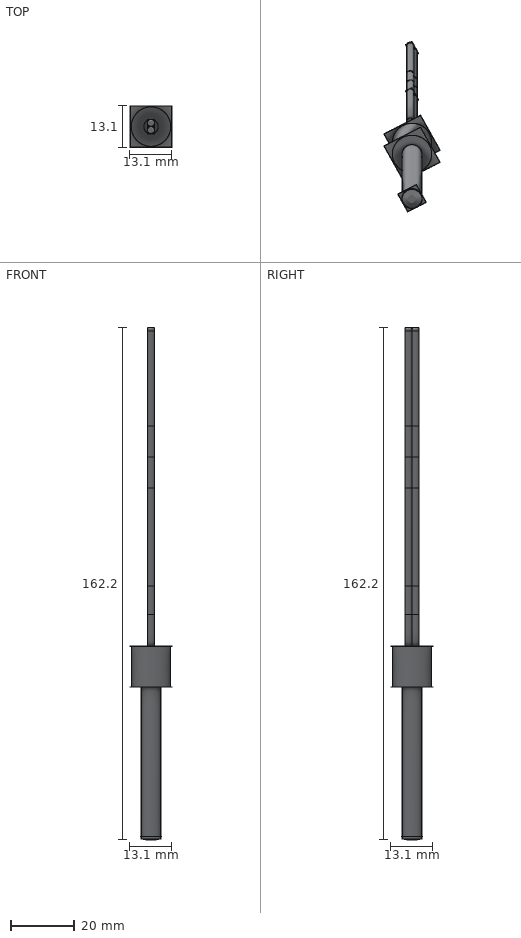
import cadquery as cq

STEM_DIAMETER = 6.3
STEM_LENGTH = 48.3
STEM_FLANGE_SIDE = 6.7
STEM_NOSE_FLAT_DIAMETER = 2.6
STEM_NOSE_HEIGHT = 0.3
STEM_NOSE_INSET = (STEM_DIAMETER - STEM_NOSE_FLAT_DIAMETER) / 2
COLLAR_DIAMETER = 12.5
COLLAR_HEIGHT = 13.0
COLLAR_FLANGE_SIDE = 13.1
COLLAR_TOP = STEM_LENGTH + COLLAR_HEIGHT

FLANGE_THICKNESS = 0.08
TIP_LENGTH = 1.1

WIRE_TOP = 162.2
WIRE_DIAMETER = 2.3
WIRE_TIP_RADIUS = 0.5
WIRE_FLANGE_SIDE = WIRE_DIAMETER
WIRE_OFFSETS = (-WIRE_DIAMETER / 2, WIRE_DIAMETER / 2)
WIRE_MIDDLE_FLANGE_TOP = 111.5
WIRE_UPPER_FLANGE_TOP = WIRE_TOP - TIP_LENGTH
RECESS_DIAMETER = 2 * WIRE_DIAMETER
RECESS_DEPTH = 1.6
RECESS_FLOOR = COLLAR_TOP - RECESS_DEPTH

BAND_THICKNESS = 0.3
BAND_INNER_DIAMETER = WIRE_DIAMETER - 2 * BAND_THICKNESS
LOWER_BAND_BOTTOM = 71.4
LOWER_BAND_TOP = 80.3
UPPER_BAND_BOTTOM = 121.2
UPPER_BAND_TOP = 131.0
BAND_SPANS = ((LOWER_BAND_BOTTOM, LOWER_BAND_TOP), (UPPER_BAND_BOTTOM, UPPER_BAND_TOP))


def cylinder(diameter, bottom, top, y=0.0):
    """Vertical cylinder between two heights, centred on X = 0."""
    return cq.Workplane("XY", origin=(0, y, bottom)).circle(diameter / 2).extrude(top - bottom)


def flange(side, top, y=0.0):
    """Thin square plate whose upper face lies at the given height."""
    bottom = top - FLANGE_THICKNESS
    return cq.Workplane("XY", origin=(0, y, bottom)).rect(side, side).extrude(FLANGE_THICKNESS)


def make_sensor_body():
    """Stem with a shallow conical nose and collar, both flanged, recessed on top for the wires."""
    stem = cylinder(STEM_DIAMETER, 0, STEM_LENGTH)
    stem = stem.faces("<Z").edges().chamfer(STEM_NOSE_HEIGHT, STEM_NOSE_INSET)
    collar = cylinder(COLLAR_DIAMETER, STEM_LENGTH, COLLAR_TOP)
    body = stem.union(collar)
    body = body.union(flange(STEM_FLANGE_SIDE, TIP_LENGTH))
    body = body.union(flange(COLLAR_FLANGE_SIDE, STEM_LENGTH + FLANGE_THICKNESS))
    body = body.union(flange(COLLAR_FLANGE_SIDE, COLLAR_TOP))
    return body.cut(cylinder(RECESS_DIAMETER, RECESS_FLOOR, COLLAR_TOP))


def make_band(y, bottom, top):
    """Ring around one wire, flush with the wire surface."""
    ring = cylinder(WIRE_DIAMETER, bottom, top, y)
    return ring.cut(cylinder(BAND_INNER_DIAMETER, bottom, top, y))


def make_wire(y):
    """One round-tipped wire with a middle and an upper flange, grooved for its marker bands."""
    wire = cylinder(WIRE_DIAMETER, RECESS_FLOOR, WIRE_TOP, y)
    wire = wire.faces(">Z").edges().fillet(WIRE_TIP_RADIUS)
    for flange_top in (WIRE_MIDDLE_FLANGE_TOP, WIRE_UPPER_FLANGE_TOP):
        wire = wire.union(flange(WIRE_FLANGE_SIDE, flange_top, y))
    for bottom, top in BAND_SPANS:
        wire = wire.cut(make_band(y, bottom, top))
    return wire


sensor_body = make_sensor_body()
wires = [make_wire(y).val() for y in WIRE_OFFSETS]
bands = [make_band(y, bottom, top).val() for y in WIRE_OFFSETS for bottom, top in BAND_SPANS]

result = cq.Compound.makeCompound([sensor_body.val(), *wires, *bands])